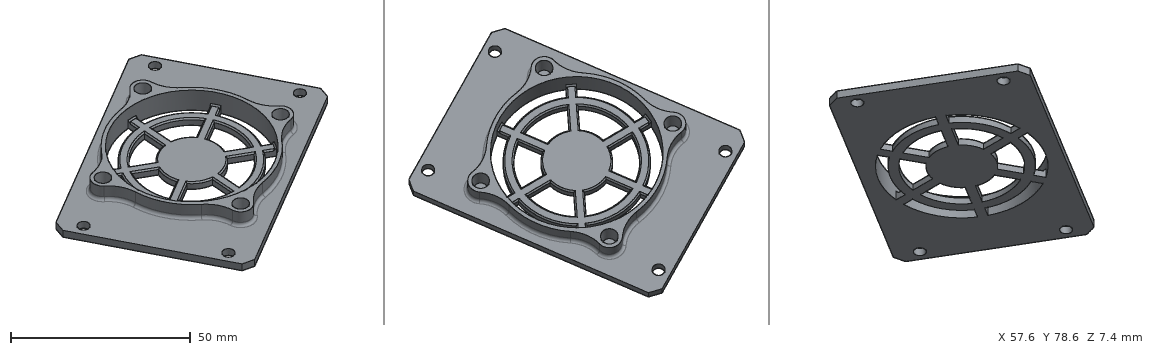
import cadquery as cq
import math

plate_width = 57.6
plate_length = 78.6
plate_thickness = 2.5
plate_corner_chamfer = 2.8
plate_hole_diameter = 3.6
plate_hole_pitch_x = 42.0
plate_hole_pitch_y = 71.5

total_height = 7.4
mount_height = total_height - plate_thickness
mount_radius = 25.2
lobe_count = 4
lobe_radius = 3.6
lobe_offset = 20.0
neck_radius = 11.95
mount_base_fillet = 1.0
air_opening_diameter = 48.0
screw_hole_diameter = 4.9
screw_hole_depth = mount_height
screw_hole_floor_diameter = 3.9

guard_edge = 0.5
wall_overlap = 0.8
guard_bar_width = 3.0
guard_hub_radius = 10.0
guard_ring_mid_radius = 19.0
spoke_count = 6


def make_plate():
    """Rectangular plate with cut corners and four through holes."""
    blank = (
        cq.Workplane("XY")
        .rect(plate_width, plate_length)
        .extrude(plate_thickness)
        .edges("|Z")
        .chamfer(plate_corner_chamfer)
    )
    holes = (
        cq.Workplane("XY")
        .rect(plate_hole_pitch_x, plate_hole_pitch_y, forConstruction=True)
        .vertices()
        .circle(plate_hole_diameter / 2)
        .extrude(plate_thickness)
    )
    return blank.cut(holes)


def polar(radius, angle):
    """Point at a distance and an angle from the part's centre."""
    return (radius * math.cos(angle), radius * math.sin(angle))


def mount_outline():
    """Round rim with four corner lobes, joined by concave necks tangent to both."""
    lobe_distance = math.hypot(lobe_offset, lobe_offset)
    to_rim = mount_radius + neck_radius
    to_lobe = lobe_radius + neck_radius
    cos_spread = (lobe_distance**2 + to_rim**2 - to_lobe**2) / (2 * lobe_distance * to_rim)
    spread = math.acos(cos_spread)

    def neck(lobe_angle, side):
        """Rim tangent point, neck midpoint and lobe tangent point on one side of a lobe."""
        rim_angle = lobe_angle + side * spread
        centre = polar(to_rim, rim_angle)
        lobe = polar(lobe_distance, lobe_angle)
        to_rim_angle = rim_angle + math.pi
        to_lobe_angle = math.atan2(lobe[1] - centre[1], lobe[0] - centre[0])
        sweep = math.remainder(to_lobe_angle - to_rim_angle, 2 * math.pi)
        angles = (to_rim_angle, to_rim_angle + sweep / 2, to_lobe_angle)
        arms = [polar(neck_radius, angle) for angle in angles]
        return [(centre[0] + dx, centre[1] + dy) for dx, dy in arms]

    quarter = 2 * math.pi / lobe_count
    first_lobe = quarter / 2
    outline = cq.Workplane("XY").workplane(offset=plate_thickness)
    outline = outline.moveTo(*neck(first_lobe, -1)[0])
    for index in range(lobe_count):
        lobe_angle = first_lobe + index * quarter
        _, before_mid, before_lobe = neck(lobe_angle, -1)
        after_rim, after_mid, after_lobe = neck(lobe_angle, 1)
        next_rim = neck(lobe_angle + quarter, -1)[0]
        outline = (
            outline.threePointArc(before_mid, before_lobe)
            .threePointArc(polar(lobe_distance + lobe_radius, lobe_angle), after_lobe)
            .threePointArc(after_mid, after_rim)
            .threePointArc(polar(mount_radius, lobe_angle + first_lobe), next_rim)
        )
    return outline.close()


def make_body():
    """Plate and mount, blended at the foot and bored for the air and the screws."""
    mount = mount_outline().extrude(mount_height)
    body = make_plate().union(mount)
    half_slice = mount_base_fillet / 2
    foot = cq.selectors.BoxSelector(
        (-mount_radius, -mount_radius, plate_thickness - half_slice),
        (mount_radius, mount_radius, plate_thickness + half_slice),
    )
    body = body.edges(foot).fillet(mount_base_fillet)
    air_opening = cq.Workplane("XY").circle(air_opening_diameter / 2).extrude(total_height)
    taper = math.atan((screw_hole_diameter - screw_hole_floor_diameter) / 2 / screw_hole_depth)
    screw_holes = (
        cq.Workplane("XY")
        .workplane(offset=total_height)
        .rect(2 * lobe_offset, 2 * lobe_offset, forConstruction=True)
        .vertices()
        .circle(screw_hole_diameter / 2)
        .extrude(-screw_hole_depth, taper=math.degrees(taper))
    )
    return body.cut(air_opening).cut(screw_holes)


def make_spokes():
    """Full-width bars crossing the air opening, still with square edges."""
    bars = cq.Workplane("XY")
    for index in range(spoke_count // 2):
        bar = (
            cq.Workplane("XY")
            .rect(guard_bar_width, air_opening_diameter + 2 * wall_overlap)
            .extrude(total_height)
            .rotate((0, 0, 0), (0, 0, 1), index * 360 / spoke_count)
        )
        bars = bars.union(bar)
    return bars


def make_guard():
    """Hub, ring and spokes with chamfered upper edges, ramped up where the spokes meet the wall."""
    half_bar = guard_bar_width / 2
    hub = cq.Workplane("XY").circle(guard_hub_radius).extrude(plate_thickness)
    ring = (
        cq.Workplane("XY")
        .circle(guard_ring_mid_radius + half_bar)
        .circle(guard_ring_mid_radius - half_bar)
        .extrude(plate_thickness)
    )
    spokes = make_spokes()
    plate_layer = cq.Workplane("XY").rect(plate_width, plate_length).extrude(plate_thickness)
    grid = hub.union(ring).union(spokes.intersect(plate_layer))
    grid = grid.faces(">Z").edges().chamfer(guard_edge)

    wall_radius = air_opening_diameter / 2
    ramp_low = plate_thickness - guard_edge
    ramp_high = plate_thickness + guard_edge
    ramp = (
        cq.Workplane("XZ")
        .moveTo(wall_radius - (ramp_high - ramp_low), ramp_low)
        .lineTo(wall_radius + wall_overlap, ramp_low)
        .lineTo(wall_radius + wall_overlap, ramp_high)
        .lineTo(wall_radius, ramp_high)
        .close()
        .revolve(360, (0, 0, 0), (0, 1, 0))
    )
    return grid.union(ramp.intersect(spokes))


result = make_body().union(make_guard())